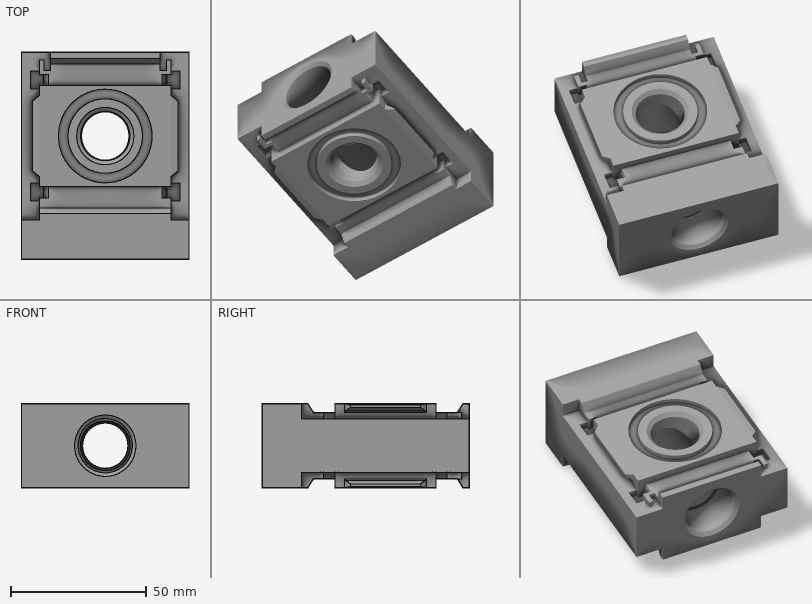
import cadquery as cq


body_side = 62.0
total_depth = 76.5
total_height = 31.05
back_y = body_side / 2
block_y = -body_side / 2
front_y = back_y - total_depth

top_z = total_height / 2
shoulder_z = 9.9
deck_z = 12.25
pocket_floor_z = 7.0

plate_half_width = 24.3
plate_half_depth = 18.7
back_rail_half_width = 20.2
rail_inset = 2.4
rail_slope_run = 2.1
deck_back_y = 28.0
deck_notch_y = 24.2
notch_outer_x = 22.65

pocket_outer_x = 27.6
pocket_near_y = 17.4
pocket_far_y = 24.0
slot_far_y = 22.8
slot_top_x = 21.0
slot_floor_x = 22.7

lip_outer_x = 26.8
lip_root_half_length = 15.1
lip_tip_half_length = 12.9
lip_root_x = 24.7
lip_root_z = 12.85
lip_tip_low_z = 14.1
lip_tip_high_z = 15.0

groove_outer_diameter = 34.6
groove_inner_diameter = 27.5
groove_depth = 2.15

bore_mouth_diameter = 18.2
bore_waist_diameter = 17.3
bore_chamfer = 1.45

port_diameter = 20.05
port_depth = 14.15
port_chamfer = 1.3
passage_diameter = 18.35
neck_diameter = 16.7
neck_start_y = 8.8


def box(x_min, x_max, y_min, y_max, z_min, z_max):
    """Box between two opposite corners."""
    size = (x_max - x_min, y_max - y_min, z_max - z_min)
    return cq.Workplane("XY").box(*size, centered=False).translate((x_min, y_min, z_min))


def centred_bar(half_width, y_min, y_max, z_min, z_max):
    """Box that is symmetric about the YZ plane."""
    return box(-half_width, half_width, y_min, y_max, z_min, z_max)


def on_both_sides(shape, plane):
    """The shape together with its mirror image."""
    return shape.union(shape.mirror(plane))


def prism_along_x(points, half_width):
    """Outline of (y, z) points extruded evenly to both sides of the YZ plane."""
    return cq.Workplane("YZ").polyline(points).close().extrude(half_width, both=True)


def rails():
    """Raised rails at the back and front of the deck with slopes that face the plate."""
    back_rail = prism_along_x(
        [
            (back_y, shoulder_z),
            (back_y, top_z),
            (back_y - rail_inset, top_z),
            (back_y - rail_inset - rail_slope_run, deck_z),
            (back_y - rail_inset - rail_slope_run, shoulder_z),
        ],
        back_rail_half_width,
    )
    front_rail = prism_along_x(
        [
            (block_y, shoulder_z),
            (block_y, top_z),
            (block_y + rail_inset, top_z),
            (block_y + rail_inset + rail_slope_run, deck_z),
            (block_y + rail_inset + rail_slope_run, shoulder_z),
        ],
        plate_half_width,
    )
    return back_rail.union(front_rail)


def deck():
    """Low deck under the plate, with a notch behind each rear corner hook."""
    slab = centred_bar(plate_half_width, block_y, deck_back_y, shoulder_z, deck_z)
    notch = box(back_rail_half_width, notch_outer_x, deck_notch_y, deck_back_y, shoulder_z, deck_z)
    return slab.cut(on_both_sides(notch, "YZ"))


def side_lip():
    """Lip along the +X edge of the plate, with a bevelled section and bevelled ends."""
    section = (
        cq.Workplane("XZ")
        .polyline(
            [
                (plate_half_width, deck_z),
                (lip_root_x, lip_root_z),
                (lip_outer_x, lip_tip_low_z),
                (lip_outer_x, lip_tip_high_z),
                (plate_half_width, top_z),
            ]
        )
        .close()
        .extrude(lip_root_half_length, both=True)
    )
    plan = (
        cq.Workplane("XY")
        .polyline(
            [
                (plate_half_width, -lip_root_half_length),
                (lip_outer_x, -lip_tip_half_length),
                (lip_outer_x, lip_tip_half_length),
                (plate_half_width, lip_root_half_length),
            ]
        )
        .close()
        .extrude(top_z)
    )
    return section.intersect(plan)


def corner_pocket():
    """Cut at the +X +Y corner of the plate: a side pocket and a slot with one sloped wall."""
    pocket = box(plate_half_width, pocket_outer_x, pocket_near_y, pocket_far_y, pocket_floor_z, shoulder_z)
    slot = (
        cq.Workplane("XZ", origin=(0, slot_far_y, 0))
        .polyline(
            [
                (slot_top_x, deck_z),
                (slot_floor_x, pocket_floor_z),
                (plate_half_width, pocket_floor_z),
                (plate_half_width, deck_z),
            ]
        )
        .close()
        .extrude(slot_far_y - plate_half_depth)
    )
    return pocket.union(slot)


def ring_groove():
    """Round groove in the top of the plate, around the bore."""
    return (
        cq.Workplane("XY", origin=(0, 0, top_z - groove_depth))
        .circle(groove_outer_diameter / 2)
        .circle(groove_inner_diameter / 2)
        .extrude(groove_depth)
    )


def vertical_bore():
    """Chamfered bore through the height that narrows gently to its waist."""
    mouth_radius = bore_mouth_diameter / 2
    chamfer_z = top_z - bore_chamfer
    return (
        cq.Workplane("XZ")
        .moveTo(0, -top_z)
        .lineTo(mouth_radius + bore_chamfer, -top_z)
        .lineTo(mouth_radius, -chamfer_z)
        .lineTo(bore_waist_diameter / 2, 0)
        .lineTo(mouth_radius, chamfer_z)
        .lineTo(mouth_radius + bore_chamfer, top_z)
        .lineTo(0, top_z)
        .close()
        .revolve(360, (0, 0, 0), (0, 1, 0))
    )


def horizontal_passage():
    """Chamfered ports in the front and back faces, joined by a passage with a neck."""
    port_radius = port_diameter / 2
    passage_radius = passage_diameter / 2
    back_port_y = back_y - port_depth
    front_port_y = front_y + port_depth
    return (
        cq.Workplane("XY")
        .moveTo(0, front_y)
        .lineTo(port_radius + port_chamfer, front_y)
        .lineTo(port_radius, front_y + port_chamfer)
        .lineTo(port_radius, front_port_y)
        .lineTo(passage_radius, front_port_y)
        .lineTo(passage_radius, neck_start_y)
        .lineTo(neck_diameter / 2, back_port_y)
        .lineTo(port_radius, back_port_y)
        .lineTo(port_radius, back_y - port_chamfer)
        .lineTo(port_radius + port_chamfer, back_y)
        .lineTo(0, back_y)
        .close()
        .revolve(360, (0, 0, 0), (0, 1, 0))
    )


plate = centred_bar(plate_half_width, -plate_half_depth, plate_half_depth, shoulder_z, top_z)
top_details = deck().union(rails()).union(plate).union(on_both_sides(side_lip(), "YZ"))
top_cuts = on_both_sides(on_both_sides(corner_pocket(), "YZ"), "XZ").union(ring_groove())

front_block = centred_bar(body_side / 2, front_y, block_y, -top_z, top_z)
body = centred_bar(body_side / 2, block_y, back_y, -shoulder_z, shoulder_z)

result = (
    body.union(front_block)
    .union(on_both_sides(top_details, "XY"))
    .cut(on_both_sides(top_cuts, "XY"))
    .cut(vertical_bore())
    .cut(horizontal_passage())
)